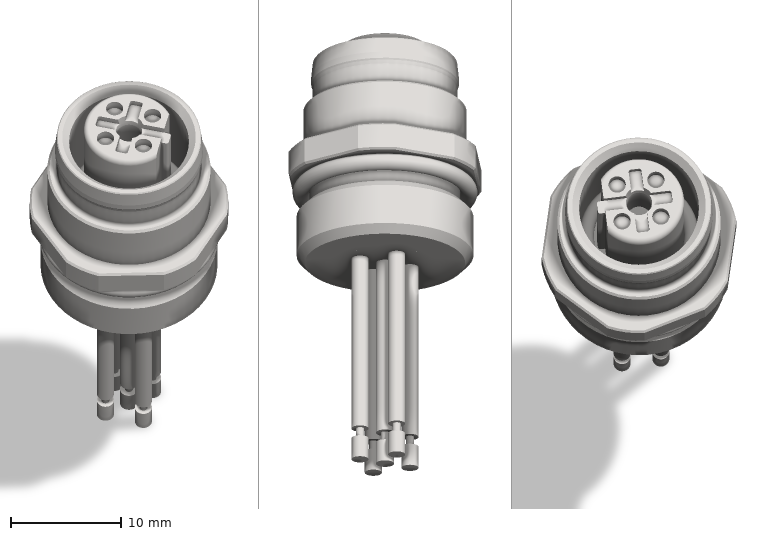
import cadquery as cq
import math


housing_top = 19.43
rim_edge_height = 0.1
lip_taper_bottom = 17.94
lip_band_bottom = 17.35
lip_edge_bottom = 17.2
neck_top = 16.87
shoulder_z = 14.93
flange_top = 10.14
flange_bottom = 7.6
groove_bottom = 5.17
base_top = 4.46
cavity_floor = flange_top

rim_radius = 6.46
rim_edge_radius = 6.55
lip_radius = 6.7
lip_edge_radius = 6.63
neck_radius = 6.56
shoulder_radius = 7.4
groove_radius = 6.82
base_radius = 8.02
cavity_mouth_radius = 6.05
cavity_radius = 5.43

neck_fillet = 0.22
shoulder_chamfer = 0.2
groove_fillet = 0.47
base_chamfer = 0.75
mouth_chamfer = cavity_mouth_radius - cavity_radius

flange_across_flats = 17.0
flange_corner_radius = 9.0
flange_chamfer = 0.18

insert_radius = 4.09
insert_top = 20.92
insert_top_fillet = 0.5
contact_circle_radius = 2.5
contact_count = 4
contact_hole_radius = 0.78
contact_hole_depth = 0.9
center_mouth_radius = 1.3
center_hole_radius = 1.1
center_mouth_depth = 1.05
center_hole_depth = 5.0

slot_width = 1.17
slot_depth = 0.6
slot_reach = 3.02
slot_corner_radius = 0.22
key_angle = 45
key_flat_distance = 3.16
key_reach = 3.8

outer_seal_radius = 8.38
outer_seal_section = 1.5
inner_seal_section = cavity_radius - insert_radius

wire_radius = 0.775
center_wire_radius = 0.82
wire_bottom = -19.53
wire_tip_length = 2.05
wire_neck_length = 0.95
wire_neck_radius = 0.37
wire_insertion = 5.0


def cylinder(radius, bottom, top):
    return cq.Workplane("XY").workplane(offset=bottom).circle(radius).extrude(top - bottom)


def on_contact_circle(angle):
    return (
        contact_circle_radius * math.cos(math.radians(angle)),
        contact_circle_radius * math.sin(math.radians(angle)),
    )


contact_points = [on_contact_circle(360 * i / contact_count) for i in range(contact_count)]

wire_places = [(0, 0, center_wire_radius)] + [(x, y, wire_radius) for x, y in contact_points]


def make_flange():
    """Hexagon with two flats facing +Y and -Y, its corners turned to a cylinder."""
    hexagon_diameter = flange_across_flats / math.cos(math.radians(30))
    height = flange_top - flange_bottom
    hexagon = cq.Workplane("XY").workplane(offset=flange_bottom).polygon(6, hexagon_diameter).extrude(height)
    flange = hexagon.intersect(cylinder(flange_corner_radius, flange_bottom, flange_top))
    return flange.faces("<Z or >Z").edges().chamfer(flange_chamfer)


def make_housing():
    """Turned shell with a sealing lip, shoulder, seal groove and base, plus the flange."""
    arc_middle = 1 - math.sqrt(0.5)
    groove_foot_radius = groove_radius + groove_fillet
    shell = (
        cq.Workplane("XZ")
        .moveTo(insert_radius, 0)
        .lineTo(base_radius - base_chamfer, 0)
        .lineTo(base_radius, base_chamfer)
        .lineTo(base_radius, base_top)
        .lineTo(groove_foot_radius, groove_bottom)
        .threePointArc(
            (groove_radius + arc_middle * groove_fillet, groove_bottom + arc_middle * groove_fillet),
            (groove_radius, groove_bottom + groove_fillet),
        )
        .lineTo(groove_radius, flange_top)
        .lineTo(shoulder_radius, flange_top)
        .lineTo(shoulder_radius, shoulder_z - shoulder_chamfer)
        .lineTo(shoulder_radius - shoulder_chamfer, shoulder_z)
        .lineTo(neck_radius + neck_fillet, shoulder_z)
        .threePointArc(
            (neck_radius + arc_middle * neck_fillet, shoulder_z + arc_middle * neck_fillet),
            (neck_radius, shoulder_z + neck_fillet),
        )
        .lineTo(neck_radius, neck_top)
        .lineTo(lip_edge_radius, lip_edge_bottom)
        .lineTo(lip_radius, lip_band_bottom)
        .lineTo(lip_radius, lip_taper_bottom)
        .lineTo(rim_edge_radius, housing_top - rim_edge_height)
        .lineTo(rim_radius, housing_top)
        .lineTo(cavity_mouth_radius, housing_top)
        .lineTo(cavity_radius, housing_top - mouth_chamfer)
        .lineTo(cavity_radius, cavity_floor)
        .lineTo(insert_radius, cavity_floor)
        .close()
        .revolve(360, (0, 0, 0), (0, 1, 0))
    )
    flange_ring = make_flange().cut(cylinder(groove_radius, flange_bottom, flange_top))
    return shell.union(flange_ring)


def make_bar(reach, bottom, top):
    """Radial bar along +X from the axis, with rounded corners at its outer end."""
    bar = (
        cq.Workplane("XY")
        .workplane(offset=bottom)
        .center(reach / 2, 0)
        .rect(reach, slot_width)
        .extrude(top - bottom)
    )
    return bar.edges("|Z and >X").fillet(slot_corner_radius)


def make_key_side_cut():
    """Material outside the key flat, less the key that stays proud of it."""
    height = insert_top - cavity_floor
    removed = (
        cq.Workplane("XY")
        .workplane(offset=cavity_floor)
        .center(key_flat_distance + insert_radius / 2, 0)
        .rect(insert_radius, 2 * insert_radius)
        .extrude(height)
    )
    return removed.cut(make_bar(key_reach, cavity_floor, insert_top))


def make_center_hole():
    """Blind centre hole with a tapered mouth."""
    return (
        cq.Workplane("XZ")
        .moveTo(0, insert_top)
        .lineTo(center_mouth_radius, insert_top)
        .lineTo(center_hole_radius, insert_top - center_mouth_depth)
        .lineTo(center_hole_radius, insert_top - center_hole_depth)
        .lineTo(0, insert_top - center_hole_depth)
        .close()
        .revolve(360, (0, 0, 0), (0, 1, 0))
    )


def make_insert():
    """Contact carrier: built with its key on +X, then turned to the key angle."""
    insert = cylinder(insert_radius, 0, insert_top).faces(">Z").edges().fillet(insert_top_fillet)
    insert = insert.cut(make_key_side_cut())
    slot_floor = insert_top - slot_depth
    for angle in (90, 180, 270):
        slot = make_bar(slot_reach, slot_floor, insert_top)
        insert = insert.cut(slot.rotate((0, 0, 0), (0, 0, 1), angle))
    key_slot = make_bar(key_reach, slot_floor, insert_top)
    insert = insert.cut(key_slot).cut(make_center_hole())
    insert = insert.rotate((0, 0, 0), (0, 0, 1), key_angle)
    for x, y in contact_points:
        contact_hole = cylinder(contact_hole_radius, insert_top - contact_hole_depth, insert_top)
        insert = insert.cut(contact_hole.translate((x, y, 0)))
    for x, y, radius in wire_places:
        insert = insert.cut(cylinder(radius, 0, wire_insertion).translate((x, y, 0)))
    return insert


def make_seal(ring_radius, section, center_z):
    return (
        cq.Workplane("XZ")
        .center(ring_radius, center_z)
        .circle(section / 2)
        .revolve(360, (-ring_radius, 0, 0), (-ring_radius, 1, 0))
    )


def make_wire(radius):
    """Wire with a narrow bared length just above its tip."""
    neck_bottom = wire_bottom + wire_tip_length
    neck_end = neck_bottom + wire_neck_length
    tip = cylinder(radius, wire_bottom, neck_bottom)
    neck = cylinder(wire_neck_radius, neck_bottom, neck_end)
    jacket = cylinder(radius, neck_end, wire_insertion)
    return tip.union(neck).union(jacket)


housing = make_housing()
insert = make_insert()

outer_seal = make_seal(
    outer_seal_radius - outer_seal_section / 2,
    outer_seal_section,
    flange_bottom - outer_seal_section / 2,
)

inner_seal = make_seal(
    insert_radius + inner_seal_section / 2,
    inner_seal_section,
    cavity_floor + inner_seal_section / 2,
)

wires = [make_wire(radius).translate((x, y, 0)) for x, y, radius in wire_places]

result = cq.Compound.makeCompound(
    [housing.val(), insert.val(), outer_seal.val(), inner_seal.val()] + [wire.val() for wire in wires]
)